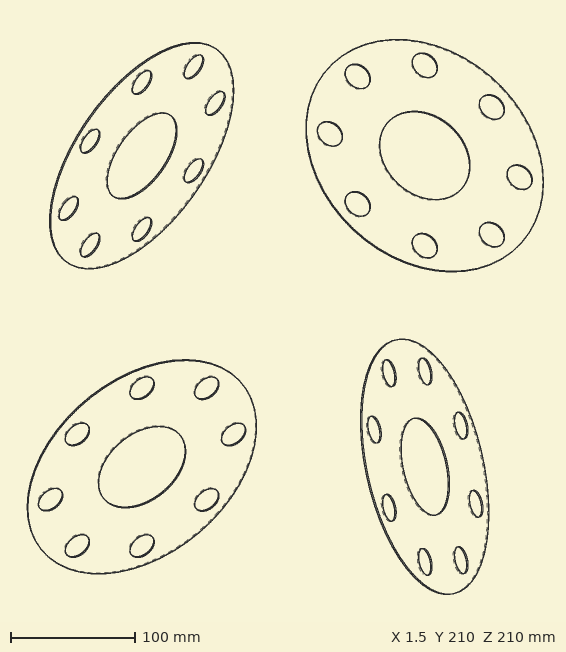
import cadquery as cq

outer_diameter = 210.0
thickness = 1.5
bore_diameter = 80.0
bolt_circle_diameter = 168.0
bolt_hole_diameter = 22.3
bolt_hole_count = 8

ring = (
    cq.Workplane("YZ")
    .circle(outer_diameter / 2)
    .circle(bore_diameter / 2)
    .extrude(thickness / 2, both=True)
)

bolt_holes = (
    cq.Workplane("YZ")
    .polarArray(bolt_circle_diameter / 2, 0, 360, bolt_hole_count)
    .circle(bolt_hole_diameter / 2)
    .extrude(thickness, both=True)
)

result = ring.cut(bolt_holes)